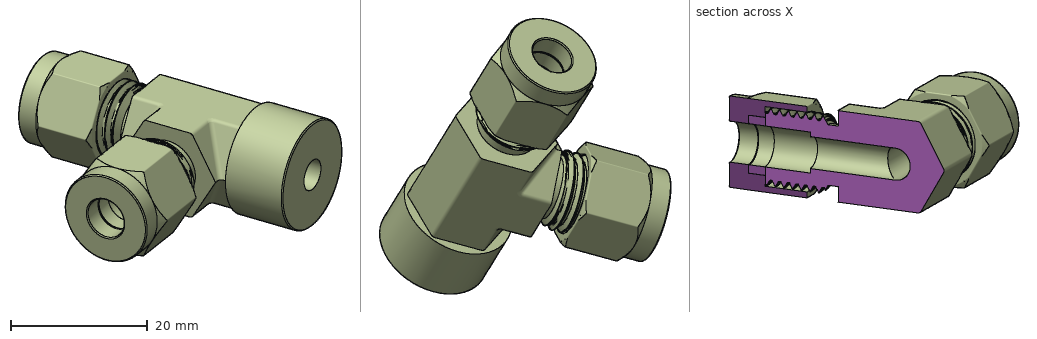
import cadquery as cq
import math


ARM_REACH = 27.0
BOSS_REACH = 19.0
FORGING_REACH = 9.3
BOSS_RADIUS = 8.5
BOSS_EDGE = 0.2

ACROSS_FLATS = 14.0
FLAT_WIDTH = ACROSS_FLATS / math.sqrt(3)
ACROSS_CORNERS = 2 * FLAT_WIDTH
FORGING_FILLET = 0.75
SELECTION_MARGIN = 0.005

FLOW_RADIUS = 2.4
TUBE_RADIUS = 3.1
TUBE_STOP = 13.8

NECK_RADIUS = 4.65
NECK_RELIEF_END = 10.9
NECK_END = 21.15
THREAD_RADIUS = 6.0
THREAD_DEPTH = 0.87
THREAD_PITCH = 1.41
THREAD_ROOT_FLAT = 0.3
THREAD_CLEARANCE = 0.05
FLANK_STEPS = 8
FIRST_CREST = 11.75
HALF_THREAD_ANGLE = math.radians(30)

NUT_LENGTH = 12.75
NUT_START = ARM_REACH - NUT_LENGTH
COLLAR_LENGTH = 3.05
COLLAR_RADIUS = ACROSS_FLATS / 2
COLLAR_START = ARM_REACH - COLLAR_LENGTH
NUT_EDGE = 0.2
NUT_CORNER_FILLET = 0.25
NUT_FACE_RADIUS = 7.18
NUT_FACE_BEVEL_ANGLE = math.radians(30)

FERRULE_RADIUS = 4.35
FERRULE_END = 23.85
FERRULE_LIP = 0.15


def cylinder(radius, start, end):
    """Cylinder about Z between two heights."""
    return cq.Workplane("XY").workplane(offset=start).circle(radius).extrude(end - start)


def hexagon(start, end):
    """Hexagonal prism about Z with two of its flats facing +X and -X."""
    plane = cq.Workplane("XY").workplane(offset=start)
    return plane.transformed(rotate=(0, 0, 90)).polygon(6, ACROSS_CORNERS).extrude(end - start)


def revolve_about_z(points):
    """Solid of revolution about Z from (radius, height) points."""
    return cq.Workplane("XZ").polyline(points).close().revolve(360, (0, 0), (0, 1))


def to_run(arm_part):
    """Turn a part built along +Z so that it points along -X."""
    return arm_part.rotate((0, 0, 0), (0, 1, 0), -90)


def to_branch(arm_part):
    """Turn a part built along +Z so that it points along -Y."""
    return to_run(arm_part).rotate((0, 0, 0), (0, 0, 1), 90)


def make_forging():
    """Hexagonal run and branch, with rounded edges on the flats and in the valleys."""
    run = to_run(hexagon(-FORGING_REACH, FORGING_REACH))
    branch = to_branch(hexagon(0, FORGING_REACH))
    size = 4 * FORGING_REACH
    above = cq.Workplane("XY").box(size, size, size, centered=(True, True, False))
    half = run.union(branch).intersect(above)

    margin = SELECTION_MARGIN
    top = ACROSS_FLATS / 2
    inner_reach = FORGING_REACH - margin
    flat_box = cq.selectors.BoxSelector(
        (-inner_reach, -inner_reach, top - margin),
        (inner_reach, inner_reach, top + margin),
    )
    flat_edges = half.faces(">Z").edges(flat_box)

    corner_reach = ACROSS_CORNERS / 2
    valley_box = cq.selectors.BoxSelector(
        (-corner_reach, -corner_reach, margin),
        (corner_reach, -FLAT_WIDTH / 2, top - margin),
    )
    valley_edges = half.edges(valley_box).edges("not(#Z or |X or |Y)")

    half = half.newObject(flat_edges.vals() + valley_edges.vals()).fillet(FORGING_FILLET)
    forging = half.union(half.mirror("XY"))
    return forging.edges(">Y").fillet(FORGING_FILLET)


def polar(radius, angle):
    """Point in the XY plane at a radius and an angle."""
    return (radius * math.cos(angle), radius * math.sin(angle))


def make_thread():
    """Threaded rod: the thread's cross-section extruded along Z with one twist per pitch."""
    root_radius = THREAD_RADIUS - THREAD_DEPTH
    turn_per_length = 2 * math.pi / THREAD_PITCH
    flank_turn = THREAD_DEPTH * math.tan(HALF_THREAD_ANGLE) * turn_per_length
    root_half_turn = THREAD_ROOT_FLAT * turn_per_length / 2
    crest_half_turn = math.pi - flank_turn - root_half_turn

    steps = [i / FLANK_STEPS for i in range(FLANK_STEPS + 1)]
    flank = [(THREAD_RADIUS - THREAD_DEPTH * t, crest_half_turn + flank_turn * t) for t in steps]
    falling = [polar(radius, angle) for radius, angle in flank]
    rising = [polar(radius, -angle) for radius, angle in reversed(flank)]
    section = (
        cq.Workplane("XY")
        .moveTo(*rising[-1])
        .threePointArc((THREAD_RADIUS, 0), falling[0])
        .spline(falling[1:], includeCurrent=True)
        .threePointArc((-root_radius, 0), rising[0])
        .spline(rising[1:], includeCurrent=True)
        .close()
    )
    length = NECK_END - NECK_RELIEF_END
    start_angle = math.degrees((NECK_RELIEF_END - FIRST_CREST) * turn_per_length)
    rod = section.twistExtrude(length, math.degrees(length * turn_per_length))
    return rod.rotate((0, 0, 0), (0, 0, 1), start_angle).translate((0, 0, NECK_RELIEF_END))


def make_neck():
    """Relieved neck with an external thread that tapers down to the relief."""
    envelope_radius = THREAD_RADIUS + THREAD_DEPTH
    run_out = (envelope_radius - NECK_RADIUS) * math.tan(HALF_THREAD_ANGLE)
    envelope = revolve_about_z([
        (0, NECK_RELIEF_END),
        (NECK_RADIUS, NECK_RELIEF_END),
        (envelope_radius, NECK_RELIEF_END + run_out),
        (envelope_radius, NECK_END),
        (0, NECK_END),
    ])
    relief = cylinder(NECK_RADIUS, FORGING_REACH, NECK_RELIEF_END)
    return make_thread().intersect(envelope).union(relief)


def make_body():
    """Forging, boss and threaded necks, bored for flow and for the two tubes."""
    boss = cylinder(BOSS_RADIUS, FORGING_REACH, BOSS_REACH).faces(">Z").chamfer(BOSS_EDGE)
    body = make_forging().union(boss.rotate((0, 0, 0), (0, 1, 0), 90))
    neck = make_neck()
    tube_socket = cylinder(TUBE_RADIUS, TUBE_STOP, NECK_END)
    for place in (to_run, to_branch):
        body = body.union(place(neck)).cut(place(tube_socket))
    body = body.cut(to_run(cylinder(FLOW_RADIUS, -BOSS_REACH, NECK_END)))
    return body.cut(to_branch(cylinder(FLOW_RADIUS, 0, NECK_END)))


def make_nut():
    """Hexagonal nut with a round collar, bored for the tube, the ferrule and the neck."""
    corner_radius = ACROSS_CORNERS / 2
    front_bevel = corner_radius - COLLAR_RADIUS
    back_bevel = (corner_radius - NUT_FACE_RADIUS) * math.tan(NUT_FACE_BEVEL_ANGLE)
    bevels = revolve_about_z([
        (0, NUT_START),
        (NUT_FACE_RADIUS, NUT_START),
        (corner_radius, NUT_START + back_bevel),
        (corner_radius, COLLAR_START - front_bevel),
        (COLLAR_RADIUS, COLLAR_START),
        (0, COLLAR_START),
    ])
    collar = cylinder(COLLAR_RADIUS, COLLAR_START, ARM_REACH).faces(">Z").chamfer(NUT_EDGE)
    flats = hexagon(NUT_START, COLLAR_START).edges("|Z").fillet(NUT_CORNER_FILLET)
    nut = flats.intersect(bevels).faces("<Z").edges().fillet(NUT_EDGE)
    nut = nut.union(collar)
    nut = nut.cut(cylinder(THREAD_RADIUS + THREAD_CLEARANCE, NUT_START, NECK_END))
    nut = nut.cut(cylinder(FERRULE_RADIUS, NECK_END, FERRULE_END))
    nut = nut.cut(cylinder(TUBE_RADIUS, FERRULE_END, ARM_REACH))
    bore_lip = cq.selectors.RadiusNthSelector(0)
    return nut.faces(">Z").edges(bore_lip).chamfer(NUT_EDGE)


def make_ferrule():
    """Plain ring around the tube, with a beveled lip where the tube enters."""
    tube_hole = cylinder(TUBE_RADIUS, NECK_END, FERRULE_END)
    ring = cylinder(FERRULE_RADIUS, NECK_END, FERRULE_END).cut(tube_hole)
    bore_lip = cq.selectors.RadiusNthSelector(0)
    return ring.faces(">Z").edges(bore_lip).chamfer(FERRULE_LIP)


arms = (to_run, to_branch)
body = make_body()
nuts = [place(make_nut()) for place in arms]
ferrules = [place(make_ferrule()) for place in arms]

result = cq.Compound.makeCompound(
    [body.val()] + [nut.val() for nut in nuts] + [ferrule.val() for ferrule in ferrules]
)